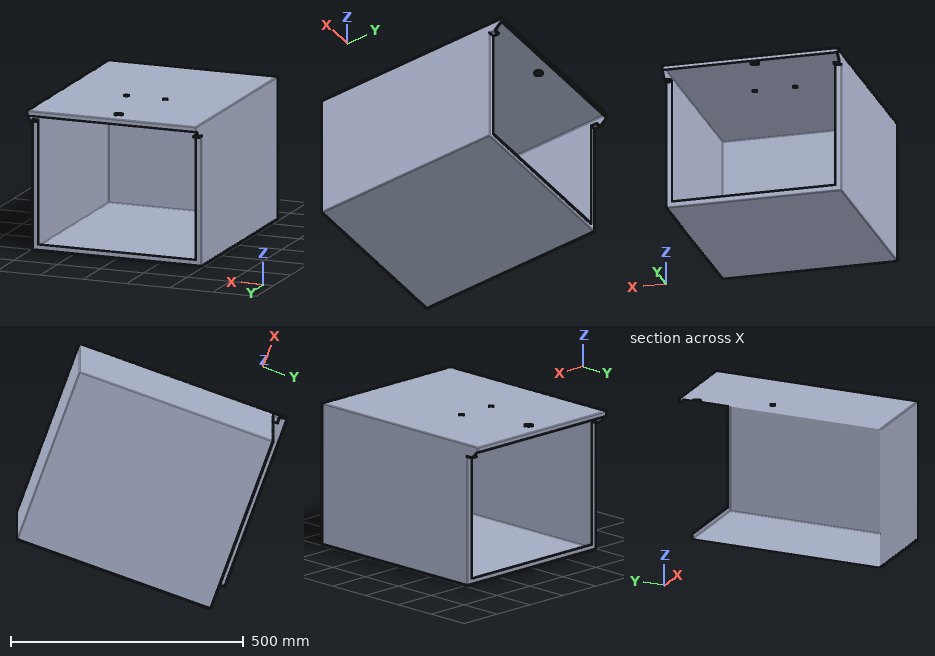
import cadquery as cq

width = 393.0
length = 477.0
height = 318.0
wall = 2.0
return_flange = 14.5
bend_radius = 2.5

overhang = 32.5
overhang_depth = 29.0
lip_height = 12.0
lip_foot = 3.0
bevel = overhang_depth - lip_height

large_hole_diameter = 18.0
large_hole_from_back = 43.0
small_hole_diameter = 10.0
small_hole_spacing = 90.0
small_holes_from_back = 201.5

back = length / 2
top = height / 2
body_back = back - overhang
ledge_height = top - overhang_depth
bevel_start = back - lip_foot - bevel


def side_profile(inset):
    """Side outline moved in from the outer faces; the bevel and lip foot stay in place."""
    front = -back + inset
    bottom = -top + inset
    rear = body_back - inset
    ledge = ledge_height + inset
    return (
        cq.Workplane("YZ")
        .moveTo(front, bottom)
        .lineTo(rear, bottom)
        .lineTo(rear, ledge)
        .lineTo(bevel_start + inset, ledge)
        .lineTo(back - lip_foot, top - lip_height)
        .lineTo(back - inset, top - lip_height)
        .lineTo(back - inset, top - inset)
        .lineTo(front, top - inset)
        .close()
    )


def rounded_block(inset, radius):
    """Block with every bend rounded; the cut edges of the bevel stay sharp."""
    block = side_profile(inset).extrude(width / 2 - inset, both=True)
    bends = block.faces("<Y or >Z or <Z").edges()
    bends = bends.add(block.faces(">Y").edges("|Z"))
    body_rear = block.faces(cq.NearestToPointSelector((0, body_back - inset, 0)))
    bends = bends.add(body_rear.edges("|Z"))
    ledge_center = (0, (body_back + bevel_start) / 2, ledge_height + inset)
    ledge = block.faces(cq.NearestToPointSelector(ledge_center))
    bends = bends.add(ledge.edges("|Y"))
    unique_bends = list(dict.fromkeys(bends.vals()))
    return block.newObject(unique_bends).fillet(radius)


def back_opening():
    """Cutter for the opening framed by the return flanges of the sides and bottom."""
    bottom = -top + return_flange
    roof = ledge_height + 2 * wall
    opening_depth = overhang + 2 * wall
    return cq.Workplane("XY").box(
        width - 2 * return_flange, opening_depth, roof - bottom, centered=(True, False, False)
    ).translate((0, back - opening_depth, bottom))


def top_hole(x, from_back, diameter):
    """Cutter for a round hole through the top panel."""
    depth = 2 * wall
    return (
        cq.Workplane("XY", origin=(x, back - from_back, top - depth))
        .circle(diameter / 2)
        .extrude(2 * depth)
    )


cavity = rounded_block(wall, bend_radius - wall)
result = rounded_block(0, bend_radius).cut(cavity).cut(back_opening())
result = result.cut(top_hole(0, large_hole_from_back, large_hole_diameter))
for side in (-1, 1):
    hole_x = side * small_hole_spacing / 2
    result = result.cut(top_hole(hole_x, small_holes_from_back, small_hole_diameter))